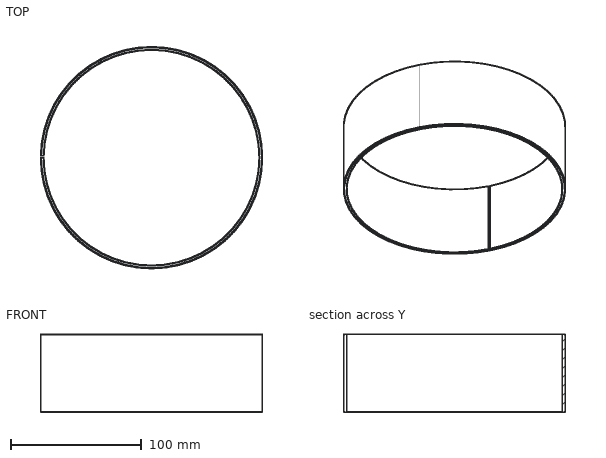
import cadquery as cq

outer_diameter = 170.0
wall = 2.5
height = 60.0
outer_chamfer = 0.6
inner_chamfer = 0.3
slit_width = 1.4

outer_radius = outer_diameter / 2
inner_radius = outer_radius - wall


def chamfered_cylinder(radius, chamfer):
    """Full-height cylinder; a negative chamfer flares both ends outwards."""
    end_radius = radius - chamfer
    chamfer_height = abs(chamfer)
    return (
        cq.Workplane("XZ")
        .moveTo(0, 0)
        .lineTo(end_radius, 0)
        .lineTo(radius, chamfer_height)
        .lineTo(radius, height - chamfer_height)
        .lineTo(end_radius, height)
        .lineTo(0, height)
        .close()
        .revolve(360, (0, 0, 0), (0, 1, 0))
    )


ring = chamfered_cylinder(outer_radius, outer_chamfer).cut(chamfered_cylinder(inner_radius, -inner_chamfer))

slit_length = 4 * wall
slit = (
    cq.Workplane("XY")
    .center(-outer_radius, slit_width / 2)
    .rect(slit_length, slit_width)
    .extrude(height)
)

result = ring.cut(slit)